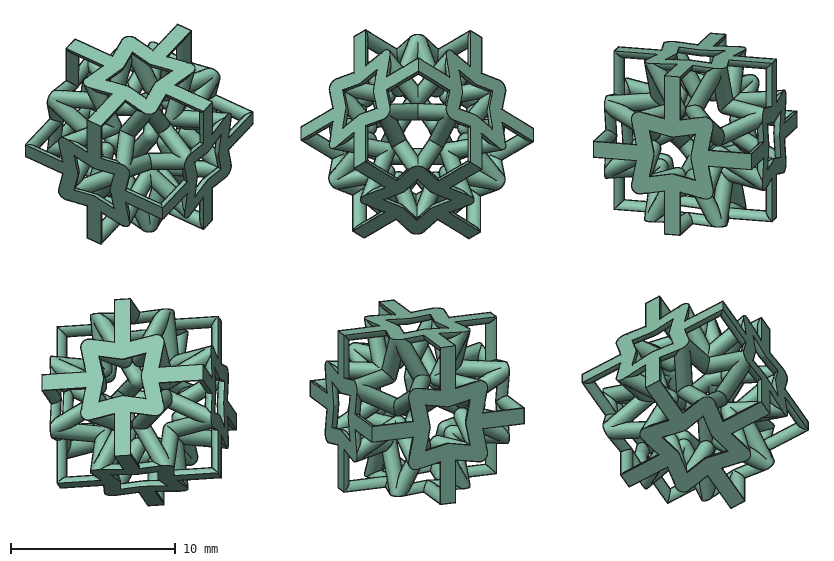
import cadquery as cq

cube_side = 10.0
strut_diameter = 1.0

tip_offset = 2.09
knee_offset = 1.67
bend_offset = 0.51

half_side = cube_side / 2
strut_radius = strut_diameter / 2


def ball(centre):
    """Round joint where struts meet."""
    return cq.Solid.makeSphere(strut_radius, angleDegrees1=-90).moved(cq.Location(cq.Vector(*centre)))


def strut(start, end):
    """Round bar between two joint centres."""
    start_point = cq.Vector(*start)
    axis = cq.Vector(*end) - start_point
    return cq.Solid.makeCylinder(strut_radius, axis.Length, start_point, axis)


def turn(point, steps):
    """Turn a point about the cube diagonal by passing its coordinates along the axes."""
    for _ in range(steps):
        point = (point[2], point[0], point[1])
    return point


def mirror_images(points):
    """The eight copies of a group of points, mirrored in the three mid-planes of the cube."""
    return [
        [(sx * x, sy * y, sz * z) for x, y, z in points]
        for sx in (1, -1)
        for sy in (1, -1)
        for sz in (1, -1)
    ]


tip = (tip_offset, tip_offset, half_side)
first_arm = [
    tip,
    (knee_offset, 0, half_side),
    (half_side, 0, half_side),
    (tip_offset, bend_offset, tip_offset),
]
second_arm = [(y, x, z) for x, y, z in first_arm]

joints = set()
struts = set()
for arm in (first_arm, second_arm):
    for steps in range(3):
        turned_arm = [turn(point, steps) for point in arm]
        for star_tip, knee, edge_middle, inner_joint in mirror_images(turned_arm):
            joints.update([star_tip, knee, inner_joint])
            struts.update([(star_tip, knee), (knee, edge_middle), (star_tip, inner_joint)])

members = [strut(start, end) for start, end in sorted(struts)]
members += [ball(centre) for centre in sorted(joints)]
lattice = members[0].fuse(*members[1:])
cube = cq.Workplane("XY").box(cube_side, cube_side, cube_side)
result = cq.Workplane(lattice).intersect(cube)